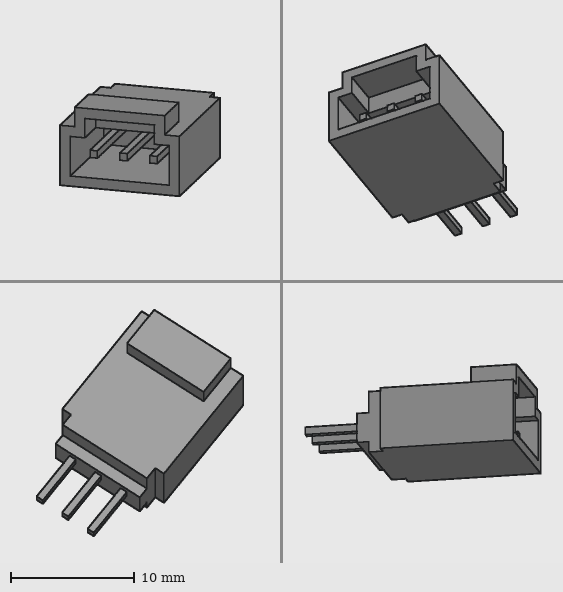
import cadquery as cq

body_width = 10.15
body_height = 5.1
shoulder_y = 11.05
body_back_y = 12.2
wall = 0.87
inner_width = body_width - 2 * wall

key_width = 7.65
key_length = 3.79
overall_height = 6.74

tail_back_y = 13.2
tail_bottom = wall
tail_top = 3.32

cavity_depth = 9.07
key_cavity_depth = key_length - wall

pin_count = 3
pin_pitch = 2.55
pin_size = 0.62
pin_center_x = -0.05
pin_center_z = 2.5
pin_front_y = 1.25
pin_back_y = 17.78


def block(width, y_range, z_range, center_x=0):
    """Box centred across X that spans the given Y and Z ranges."""
    y_start, y_end = y_range
    z_start, z_end = z_range
    return cq.Workplane("XY").box(
        width, y_end - y_start, z_end - z_start, centered=(True, False, False)
    ).translate((center_x, y_start, z_start))


def make_housing():
    body = block(body_width, (0, shoulder_y), (0, body_height))
    back = block(inner_width, (0, body_back_y), (0, body_height))
    tail = block(inner_width, (0, tail_back_y), (tail_bottom, tail_top))
    key = block(key_width, (0, key_length), (0, overall_height))
    return body.union(back).union(tail).union(key)


def make_cavity():
    main = block(inner_width, (0, cavity_depth), (wall, body_height - wall))
    key_slot = block(key_width - 2 * wall, (0, key_cavity_depth), (wall, overall_height - wall))
    return main.union(key_slot)


def make_pin(center_x):
    z_start = pin_center_z - pin_size / 2
    return block(pin_size, (pin_front_y, pin_back_y), (z_start, z_start + pin_size), center_x)


result = make_housing().cut(make_cavity())
for index in range(pin_count):
    pin_x = pin_center_x + (index - (pin_count - 1) / 2) * pin_pitch
    result = result.union(make_pin(pin_x))